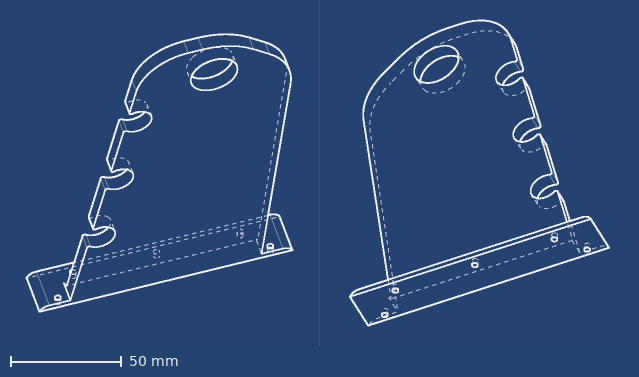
import cadquery as cq
import math

base_width = 20.0
base_thickness = 3.0
base_flat_length = 110.0
end_round_radius = 5.0

plate_thickness = 7.0
plate_foot_length = 90.0
total_height = 167.24
back_lean = math.radians(6.4)
front_lean = math.radians(12.1)
shoulder_slope = math.radians(41.0)
shoulder_height = 141.4
back_corner_radius = 30.0
crown_radius = 36.5
front_corner_radius = 25.0
root_fillet_radius = 3.0

hanging_hole_diameter = 22.0
hanging_hole_y = 22.7
hanging_hole_z = 146.2

notch_radius = 7.0
notch_inset = 5.0
notch_lip_radius = 1.0
notch_heights = (45.0, 85.0, 125.0)

screw_hole_diameter = 2.7
side_screw_x = 5.0
side_screw_pitch = 39.3
end_screw_x = 17.0
end_screw_y = 50.0

plate_x = base_width - plate_thickness
foot_half = plate_foot_length / 2


def front_edge_y(z):
    """Y of the sloping front edge of the plate at height z."""
    return -foot_half + (z - base_thickness) * math.tan(front_lean)


def back_edge_y(z):
    """Y of the sloping back edge of the plate at height z."""
    return foot_half + (z - base_thickness) * math.tan(back_lean)


def make_base():
    """Flange whose two ends are arcs that start tangent to its top face."""
    half_flat = base_flat_length / 2

    def end_reach(depth):
        """How far the end arc reaches past the flat at a depth below the top face."""
        return math.sqrt(end_round_radius**2 - (end_round_radius - depth) ** 2)

    half_length = half_flat + end_reach(base_thickness)
    mid_y = half_flat + end_reach(base_thickness / 2)
    mid_z = base_thickness / 2
    return (
        cq.Workplane("YZ")
        .moveTo(-half_length, 0)
        .lineTo(half_length, 0)
        .threePointArc((mid_y, mid_z), (half_flat, base_thickness))
        .lineTo(-half_flat, base_thickness)
        .threePointArc((-mid_y, mid_z), (-half_length, 0))
        .close()
        .extrude(base_width)
    )


def round_plate_corner(plate, y, z, radius):
    """Round the corner of the plate that runs along X through (y, z)."""
    corner = cq.selectors.NearestToPointSelector((plate_x + plate_thickness / 2, y, z))
    return plate.edges("|X").edges(corner).fillet(radius)


def make_plate():
    """Leaning plate with a sloping shoulder and three rounded top corners."""
    shoulder_y = back_edge_y(shoulder_height)
    crown_y = shoulder_y - (total_height - shoulder_height) / math.tan(shoulder_slope)
    front_top_y = front_edge_y(total_height)
    plate = (
        cq.Workplane("YZ", origin=(plate_x, 0, 0))
        .polyline(
            [
                (-foot_half, base_thickness),
                (foot_half, base_thickness),
                (shoulder_y, shoulder_height),
                (crown_y, total_height),
                (front_top_y, total_height),
            ]
        )
        .close()
        .extrude(plate_thickness)
    )
    plate = round_plate_corner(plate, shoulder_y, shoulder_height, back_corner_radius)
    plate = round_plate_corner(plate, crown_y, total_height, crown_radius)
    return round_plate_corner(plate, front_top_y, total_height, front_corner_radius)


def plate_hole(y, z, radius):
    """Cylinder that passes through the plate along X."""
    return (
        cq.Workplane("YZ", origin=(plate_x, 0, 0))
        .center(y, z)
        .circle(radius)
        .extrude(plate_thickness)
    )


def cut_notch(plate, z):
    """Cut one open round notch into the front edge and round its two lips."""
    center_y = front_edge_y(z) + notch_inset / math.cos(front_lean)
    plate = plate.cut(plate_hole(center_y, z, notch_radius))
    half_mouth = math.sqrt(notch_radius**2 - notch_inset**2)
    mouth_z = z + notch_inset * math.sin(front_lean)
    for side in (-1, 1):
        lip_z = mouth_z + side * half_mouth * math.cos(front_lean)
        plate = round_plate_corner(plate, front_edge_y(lip_z), lip_z, notch_lip_radius)
    return plate


def drill_base(body):
    """Drill the row of screw holes beside the plate and one hole past each end of it."""
    centers = [(side_screw_x, step * side_screw_pitch) for step in (-1, 0, 1)]
    centers += [(end_screw_x, side * end_screw_y) for side in (-1, 1)]
    drills = (
        cq.Workplane("XY")
        .pushPoints(centers)
        .circle(screw_hole_diameter / 2)
        .extrude(base_thickness)
    )
    return body.cut(drills)


plate = make_plate()
plate = plate.cut(plate_hole(hanging_hole_y, hanging_hole_z, hanging_hole_diameter / 2))
for notch_z in notch_heights:
    plate = cut_notch(plate, notch_z)

body = make_base().union(plate)
root_edge = cq.selectors.NearestToPointSelector((plate_x, 0, base_thickness))
body = body.edges("|Y").edges(root_edge).fillet(root_fillet_radius)
result = drill_base(body)